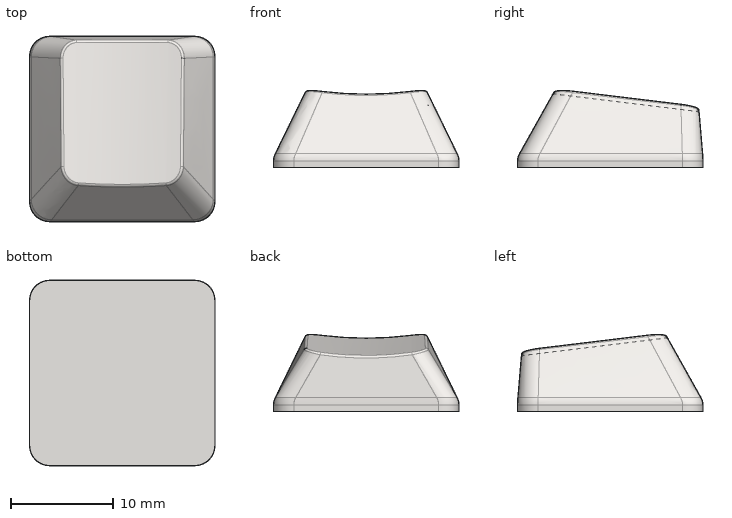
import cadquery as cq
import math

base_size = 18.16
base_corner_radius = 2.0
skirt_height = 0.65
bend_end = 1.36

side_lean = 0.5
front_lean = 0.56
back_lean = 0.085

top_tilt = 7.0
top_width = 11.3
top_centre_height = 7.63
top_corner_radius = 1.73

dish_radius = 32.69
dish_front_y = -5.54
dish_front_height = 7.21
dish_length = 54.48
rim_radius = 0.27


def bend_inset(lean, height):
    """Inward shift of a wall within the bend: a parabola that starts vertical and ends at the lean."""
    return lean * (height - skirt_height) ** 2 / (2 * (bend_end - skirt_height))


def rounded_rectangle(width, depth, radius):
    return cq.Sketch().rect(width, depth).vertices().fillet(radius)


def bend_outline(height):
    """Level rounded rectangle that the four walls enclose at a height within the bend."""
    width = base_size - 2 * bend_inset(side_lean, height)
    front_y = -base_size / 2 + bend_inset(front_lean, height)
    back_y = base_size / 2 - bend_inset(back_lean, height)
    outline = rounded_rectangle(width, back_y - front_y, base_corner_radius)
    return outline.moved(cq.Location(cq.Vector(0, (front_y + back_y) / 2, height)))


def top_outline():
    """Rounded rectangle in the tilted plane, ending where it meets the front and back walls."""
    tilt = math.radians(top_tilt)
    wall_rise = top_centre_height - (skirt_height + bend_end) / 2
    front_y = (-base_size / 2 + front_lean * wall_rise) / (1 + front_lean * math.tan(tilt))
    back_y = (base_size / 2 - back_lean * wall_rise) / (1 - back_lean * math.tan(tilt))
    middle_y = (front_y + back_y) / 2
    middle_z = top_centre_height - middle_y * math.tan(tilt)
    outline = rounded_rectangle(top_width, (back_y - front_y) / math.cos(tilt), top_corner_radius)
    return outline.moved(cq.Location(cq.Vector(0, middle_y, middle_z), cq.Vector(1, 0, 0), -top_tilt))


def make_skirt():
    return cq.Workplane("XY").placeSketch(bend_outline(skirt_height)).extrude(-skirt_height)


def make_bend():
    middle = (skirt_height + bend_end) / 2
    sections = [bend_outline(height) for height in (skirt_height, middle, bend_end)]
    return cq.Workplane("XY").placeSketch(*sections).loft()


def make_leaning_walls():
    return cq.Workplane("XY").placeSketch(bend_outline(bend_end), top_outline()).loft(ruled=True)


def make_dish_cutter():
    """Cylinder lying along the tilted top, lowest along X = 0."""
    tilt = math.radians(top_tilt)
    along = cq.Vector(0, math.cos(tilt), -math.sin(tilt))
    normal = cq.Vector(0, math.sin(tilt), math.cos(tilt))
    front_point = cq.Vector(0, dish_front_y, dish_front_height)
    start = front_point + normal * dish_radius - along * (dish_length / 2)
    return cq.Workplane(cq.Solid.makeCylinder(dish_radius, dish_length, start, along))


body = make_skirt().union(make_bend()).union(make_leaning_walls())

body = body.cut(make_dish_cutter())
dish_face = body.faces("not #Z").faces("%CYLINDER").faces(">Z")
result = dish_face.edges().fillet(rim_radius)